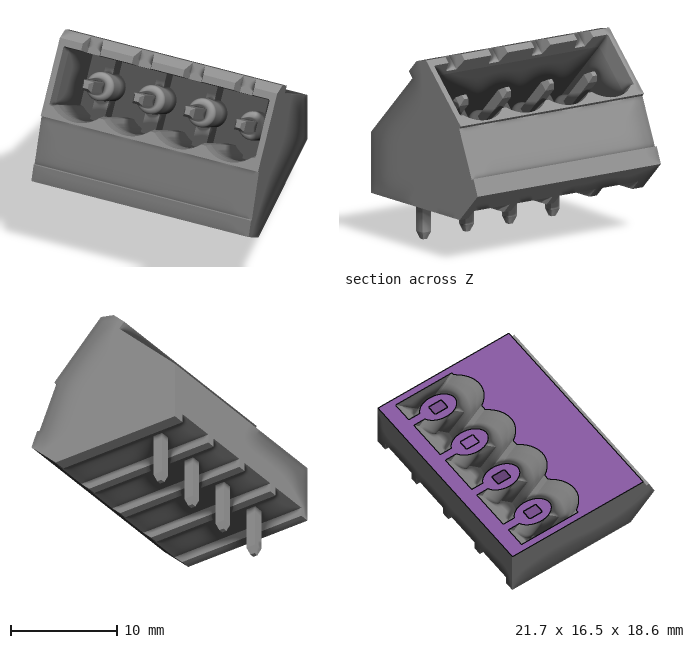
import cadquery as cq
import math


ROOT2 = math.sqrt(2)
PIN_COUNT = 4
PITCH = 5.08
PIN_XS = [(i - (PIN_COUNT - 1) / 2) * PITCH for i in range(PIN_COUNT)]

PIN_WIDTH = 1.0
PIN_TIP_WIDTH = 0.48
PIN_TIP_LENGTH = 0.73
LEG_LENGTH = 4.15
PIN_V = 3.09
CONTACT_END_N = 12.2

END_MARGIN = 3.24
LENGTH = (PIN_COUNT - 1) * PITCH + 2 * END_MARGIN
BACK_Y = 3.9
DEPTH = 16.5
MOUTH_N = 13.485
ROOF_V = 6.95
LATCH_V = 7.76
LATCH_LOW_N = 10.49
LATCH_HIGH_N = 12.19
MOUTH_LOW_V = -0.64
BROW_N = 13.13
FOOT_IN_Y, FOOT_IN_Z = -11.69, 4.25
FOOT_OUT_Y, FOOT_OUT_Z = -11.95, 4.38
FRONT_Y, FRONT_Z = BACK_Y - DEPTH, 2.78

CAVITY_LENGTH = 20.28
CAVITY_LOW_V = 0.68
CAVITY_HIGH_V = 6.1
FLOOR_N = 2.0
LEAD_IN_DEPTH = 1.78
LEAD_IN_OFFSET = 0.16
LEAD_IN_ANGLE = math.degrees(math.atan(LEAD_IN_OFFSET / LEAD_IN_DEPTH))
LOBE_RADIUS = 3.1
LOBE_V = 2.82

BOSS_DIAMETER = 2.75
BOSS_TOP_N = MOUTH_N - 6.5
BOSS_FILLET = 0.5
RIB_TOP_N = FLOOR_N + 2.55
UPPER_RIB_WIDTH = 0.86
LOWER_RIB_WIDTH = 1.38

NOTCH_FLOOR_WIDTH = 1.2
NOTCH_MOUTH_WIDTH = 1.9

SLOT_WIDTH = 4.22
SLOT_HEIGHT = 0.9
SLOT_SHIFT = -0.12


def yz(v, n):
    """World (y, z) of a point of the tilted frame."""
    return ((v - n) / ROOT2, (v + n) / ROOT2)


def tilted_plane(n):
    """Workplane parallel to the mouth at height n, local axes x and v."""
    y, z = yz(0, n)
    return cq.Workplane(cq.Plane(origin=(0, y, z), xDir=(1, 0, 0), normal=(0, -1, 1)))


def tilted_box(x_center, width, v_low, v_high, n_low, n_high):
    """Box of the tilted frame between the given v and n limits."""
    base = tilted_plane(n_low).center(x_center, (v_low + v_high) / 2)
    return base.rect(width, v_high - v_low).extrude(n_high - n_low)


def make_shell():
    """Solid housing block from its side outline."""
    outline = [
        (BACK_Y, 0),
        (BACK_Y, ROOF_V * ROOT2 - BACK_Y),
        yz(ROOF_V, LATCH_LOW_N),
        yz(LATCH_V, LATCH_LOW_N),
        yz(LATCH_V, LATCH_HIGH_N),
        yz(ROOF_V, MOUTH_N),
        yz(MOUTH_LOW_V, MOUTH_N),
        yz(MOUTH_LOW_V, BROW_N),
        (FOOT_IN_Y, FOOT_IN_Z),
        (FOOT_OUT_Y, FOOT_OUT_Z),
        (FRONT_Y, FRONT_Z),
        (FRONT_Y + FRONT_Z, 0),
    ]
    return cq.Workplane("YZ").polyline(outline).close().extrude(LENGTH / 2, both=True)


def make_cavity():
    """Rectangular well with a flared lead-in and a round lobe under each pin."""
    flare_n = MOUTH_N - LEAD_IN_DEPTH
    middle_v = (CAVITY_LOW_V + CAVITY_HIGH_V) / 2
    height = CAVITY_HIGH_V - CAVITY_LOW_V
    well = tilted_box(0, CAVITY_LENGTH, CAVITY_LOW_V, CAVITY_HIGH_V, FLOOR_N, flare_n)
    flare = tilted_plane(flare_n).center(0, middle_v).rect(CAVITY_LENGTH, height)
    flare = flare.extrude(LEAD_IN_DEPTH, taper=-LEAD_IN_ANGLE)
    lobe_limit = tilted_box(0, CAVITY_LENGTH, LOBE_V - 2 * LOBE_RADIUS, LOBE_V, FLOOR_N, MOUTH_N)
    cavity = well.union(flare)
    for x in PIN_XS:
        lobe = tilted_plane(FLOOR_N).center(x, LOBE_V).circle(LOBE_RADIUS).extrude(flare_n - FLOOR_N)
        cone = tilted_plane(flare_n).center(x, LOBE_V).circle(LOBE_RADIUS)
        cone = cone.extrude(LEAD_IN_DEPTH, taper=-LEAD_IN_ANGLE)
        cavity = cavity.union(lobe.union(cone).intersect(lobe_limit))
    return cavity


def make_pin_support(x):
    """Boss around the contact leg, with a rib to the upper and to the lower cavity wall."""
    boss = tilted_plane(FLOOR_N).center(x, PIN_V).circle(BOSS_DIAMETER / 2)
    boss = boss.extrude(BOSS_TOP_N - FLOOR_N)
    toward_mouth = cq.selectors.DirectionMinMaxSelector(cq.Vector(0, -1, 1))
    boss = boss.faces(toward_mouth).edges().fillet(BOSS_FILLET)
    upper_rib = tilted_box(x, UPPER_RIB_WIDTH, PIN_V, CAVITY_HIGH_V, FLOOR_N, RIB_TOP_N)
    lower_rib = tilted_box(x, LOWER_RIB_WIDTH, LOBE_V - LOBE_RADIUS, PIN_V, FLOOR_N, RIB_TOP_N)
    return boss.union(upper_rib).union(lower_rib)


def make_notch(x):
    """Trapezoid channel through the upper mouth wall, running along v."""
    y, z = yz((CAVITY_LOW_V + CAVITY_HIGH_V) / 2, 0)
    section = cq.Workplane(cq.Plane(origin=(x, y, z), xDir=(-1, 0, 0), normal=(0, 1, 1)))
    section = section.polyline([
        (-NOTCH_FLOOR_WIDTH / 2, LATCH_HIGH_N),
        (NOTCH_FLOOR_WIDTH / 2, LATCH_HIGH_N),
        (NOTCH_MOUTH_WIDTH / 2, MOUTH_N),
        (-NOTCH_MOUTH_WIDTH / 2, MOUTH_N),
    ]).close()
    return section.extrude(LATCH_V)


def make_slot(x):
    """Slot across the underside from front to back."""
    slot = cq.Workplane("XY").box(SLOT_WIDTH, 2 * DEPTH, 2 * SLOT_HEIGHT)
    return slot.translate((x + SLOT_SHIFT, 0, 0))


def make_tip(plane):
    """Tapered pin end on the given plane."""
    tip = plane.rect(PIN_WIDTH, PIN_WIDTH).workplane(offset=PIN_TIP_LENGTH)
    return tip.rect(PIN_TIP_WIDTH, PIN_TIP_WIDTH).loft(ruled=True)


def make_pin(x):
    """Square pin: vertical solder leg and tilted contact leg meeting in a mitred bend."""
    half = PIN_WIDTH / 2
    leg_end_z = PIN_TIP_LENGTH - LEG_LENGTH
    contact_end_n = CONTACT_END_N - PIN_TIP_LENGTH
    v_high = PIN_V + half
    v_low = PIN_V - half
    side = [
        (-half, leg_end_z),
        (half, leg_end_z),
        (half, v_high * ROOT2 - half),
        yz(v_high, contact_end_n),
        yz(v_low, contact_end_n),
        (-half, v_low * ROOT2 + half),
    ]
    body = cq.Workplane("YZ").polyline(side).close().extrude(half, both=True)
    leg_tip = make_tip(cq.Workplane("XY", origin=(0, 0, leg_end_z)).transformed(rotate=(180, 0, 0)))
    contact_tip = make_tip(tilted_plane(contact_end_n).center(0, PIN_V))
    return body.union(leg_tip).union(contact_tip).translate((x, 0, 0))


pins = [make_pin(x) for x in PIN_XS]

housing = make_shell().cut(make_cavity())
for x, pin in zip(PIN_XS, pins):
    housing = housing.union(make_pin_support(x))
    housing = housing.cut(make_notch(x)).cut(make_slot(x))
    housing = housing.cut(pin)

result = cq.Compound.makeCompound([housing.val(), *[pin.val() for pin in pins]])